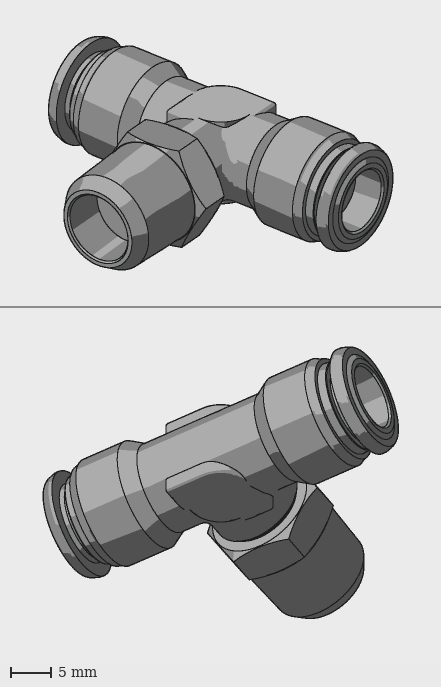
import cadquery as cq
import math


run_half_length = 22.3
tube_radius = 6.0
socket_radius = 7.25
collar_radius = 7.1
collar_face_depth = 0.36
collar_neck_radius = 5.08

socket_outline = [
    (0.0, 5.04),
    (collar_face_depth, 5.72),
    (collar_face_depth, 6.65),
    (0.6, 6.82),
    (1.48, collar_radius),
    (1.93, collar_radius),
    (1.93, 5.35),
    (2.5, collar_neck_radius),
    (3.12, collar_neck_radius),
    (3.12, 5.93),
    (3.22, 6.02),
    (4.33, 6.12),
    (4.33, 6.75),
    (5.25, 7.05),
    (5.53, socket_radius),
    (11.6, socket_radius),
    (13.7, tube_radius),
]
socket_bore_radius = 4.1
socket_bore_depth = 4.25
socket_bore_chamfer = 0.26

branch_end = 25.25
stub_radius = tube_radius
stub_end = 9.05
stub_chamfer = 0.65
washer_radius = 5.4
hex_start = 9.2
hex_end = 14.3
hex_across_flats = 14.0
hex_turn = 1.65
hex_chamfer_radius = 6.9
hex_chamfer_angle = 30.0
thread_start_radius = 6.83
thread_tip_radius = 6.53
thread_tip_start = 23.35
thread_end_radius = 5.35
branch_bore_radius = 4.54
branch_bore_depth = 5.8
branch_bore_chamfer = 0.23

crotch_fillet = 1.5
pad_round_radius = 4.5
pad_corner_reach = 5.5
pad_fillet = 0.5


def revolve_about_x(profile):
    """Turn a closed list of (x, radius) points about the X axis."""
    return cq.Workplane("XY").polyline(profile).close().revolve(360, (0, 0, 0), (1, 0, 0))


def revolve_about_y(profile):
    """Turn a closed list of (distance along -Y, radius) points about the Y axis."""
    points = [(radius, -distance) for distance, radius in profile]
    return cq.Workplane("XY").polyline(points).close().revolve(360, (0, 0, 0), (0, 1, 0))


def bore_profile(end, inward, radius, depth, chamfer):
    """Half section of a blind bore with a chamfered rim, opening at `end`."""
    return [
        (end, 0),
        (end, radius + chamfer),
        (end + inward * chamfer, radius),
        (end + inward * depth, radius),
        (end + inward * depth, 0),
    ]


def make_crossing():
    """Tube and stub blended at their crotches, under a flat cap on the branch side."""
    tube = cq.Workplane("YZ").circle(tube_radius).extrude(run_half_length / 2, both=True)
    stub = cq.Workplane("XZ").circle(stub_radius).extrude(stub_end)
    stub = stub.faces("<Y").chamfer(stub_chamfer)
    cap_left = -(pad_round_radius - pad_fillet)
    cap_bottom = -(pad_corner_reach - pad_fillet)
    square_cap = (
        cq.Workplane("XY")
        .rect(cap_left, cap_bottom, centered=False)
        .extrude(tube_radius, both=True)
    )
    middle = pad_round_radius * math.sqrt(0.5)
    round_cap = (
        cq.Workplane("XY")
        .lineTo(pad_round_radius, 0)
        .threePointArc((middle, -middle), (0, -pad_round_radius))
        .close()
        .extrude(tube_radius, both=True)
    )
    body = tube.union(stub).union(square_cap).union(round_cap)
    crotch_edges = [
        edge
        for edge in body.edges("%ELLIPSE").vals()
        if edge.Center().y < -tube_radius / 2
    ]
    return body.newObject(crotch_edges).fillet(crotch_fillet)


def make_pad():
    """Rounded-edge pad block: two square corners joined by a quarter round."""
    middle = pad_round_radius * math.sqrt(0.5)
    block = (
        cq.Workplane("XY", origin=(0, 0, -tube_radius))
        .lineTo(0, -pad_corner_reach)
        .lineTo(-pad_round_radius, -pad_corner_reach)
        .lineTo(-pad_round_radius, 0)
        .threePointArc((-middle, middle), (0, pad_round_radius))
        .lineTo(pad_corner_reach, pad_round_radius)
        .lineTo(pad_corner_reach, 0)
        .close()
        .extrude(2 * tube_radius)
    )
    upright_corners = block.edges("|Z").edges("<(1, 1, 0) or >(1, 1, 0)").vals()
    outer_walls = block.faces("<X or >X or <Y or >Y or %CYLINDER")
    rim_edges = outer_walls.edges("<Z or >Z").vals()
    return block.newObject(upright_corners + rim_edges).fillet(pad_fillet)


def make_socket(side):
    """Socket at the +X (side=1) or -X (side=-1) end."""
    outline = [(side * (run_half_length - depth), radius) for depth, radius in socket_outline]
    start = outline[0][0]
    stop = outline[-1][0]
    return revolve_about_x([(start, 0)] + outline + [(stop, 0)])


def make_hex():
    circumradius = hex_across_flats / math.sqrt(3)
    chamfer = (circumradius - hex_chamfer_radius) * math.tan(math.radians(hex_chamfer_angle))
    prism = (
        cq.Workplane("XZ", origin=(0, -hex_start, 0))
        .polygon(6, 2 * circumradius)
        .extrude(hex_end - hex_start)
        .rotate((0, 0, 0), (0, 1, 0), -hex_turn)
    )
    envelope = revolve_about_y([
        (hex_start, 0),
        (hex_start, hex_chamfer_radius),
        (hex_start + chamfer, circumradius),
        (hex_end - chamfer, circumradius),
        (hex_end, hex_chamfer_radius),
        (hex_end, 0),
    ])
    return prism.intersect(envelope)


def make_washer_and_thread():
    """Washer between stub and hexagon, and the tapered thread beyond the hexagon."""
    hex_middle = (hex_start + hex_end) / 2
    return revolve_about_y([
        (stub_end - stub_chamfer, 0),
        (stub_end - stub_chamfer, washer_radius - stub_chamfer),
        (stub_end, washer_radius - stub_chamfer),
        (stub_end, washer_radius),
        (hex_middle, washer_radius),
        (hex_middle, thread_start_radius),
        (hex_end, thread_start_radius),
        (thread_tip_start, thread_tip_radius),
        (branch_end, thread_end_radius),
        (branch_end, 0),
    ])


result = make_crossing().union(make_pad())
for side in (-1, 1):
    result = result.union(make_socket(side))
result = result.union(make_washer_and_thread()).union(make_hex())

for side in (-1, 1):
    socket_bore = bore_profile(
        side * run_half_length, -side, socket_bore_radius, socket_bore_depth, socket_bore_chamfer
    )
    result = result.cut(revolve_about_x(socket_bore))
branch_bore = bore_profile(
    branch_end, -1, branch_bore_radius, branch_bore_depth, branch_bore_chamfer
)
result = result.cut(revolve_about_y(branch_bore))